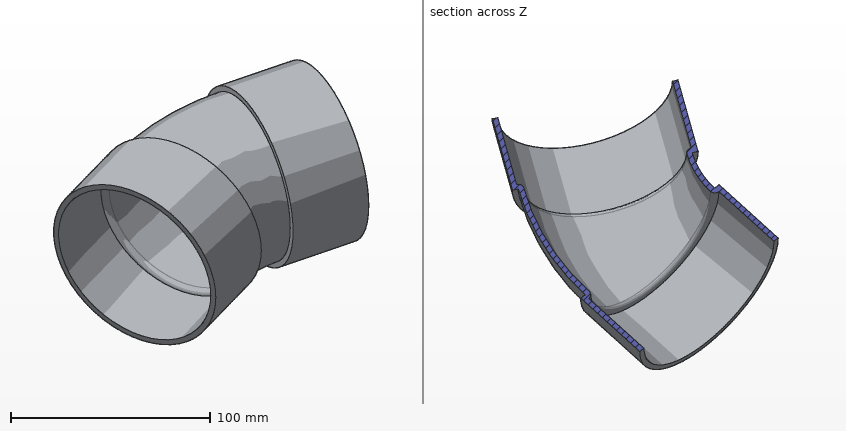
import cadquery as cq
import math

bend_angle = 30.0
bend_radius = 90.0
pipe_diameter = 90.0
wall = 3.0
socket_length = 43.0

pipe_radius = pipe_diameter / 2
flow_radius = pipe_radius - wall
socket_radius = pipe_radius + wall
lip_radius = wall


def elbow(radius):
    """Solid elbow that leaves the origin along +Y and turns towards +X."""
    axis_start = (bend_radius, 0, 0)
    axis_end = (bend_radius, -1, 0)
    return cq.Workplane("XZ").circle(radius).revolve(bend_angle, axis_start, axis_end)


def bend():
    """Hollow curved pipe between the two sockets."""
    return elbow(pipe_radius).cut(elbow(flow_radius))


def inlet_socket():
    """Socket along -Y from the origin, with a rounded lip where it meets the bend."""
    lip_offset = lip_radius * math.sqrt(0.5)
    lip_middle = (pipe_radius - lip_offset, -lip_offset)
    return (
        cq.Workplane("XY")
        .moveTo(flow_radius, 0)
        .threePointArc(lip_middle, (pipe_radius, -lip_radius))
        .lineTo(pipe_radius, -socket_length)
        .lineTo(socket_radius, -socket_length)
        .lineTo(socket_radius, 0)
        .close()
        .revolve(360, (0, 0, 0), (0, 1, 0))
    )


def outlet_socket():
    """The same socket, reversed and turned to the far end of the bend."""
    axis_start = (bend_radius, 0, 0)
    axis_end = (bend_radius, 0, 1)
    return inlet_socket().mirror("XZ").rotate(axis_start, axis_end, -bend_angle)


result = bend().union(inlet_socket()).union(outlet_socket())